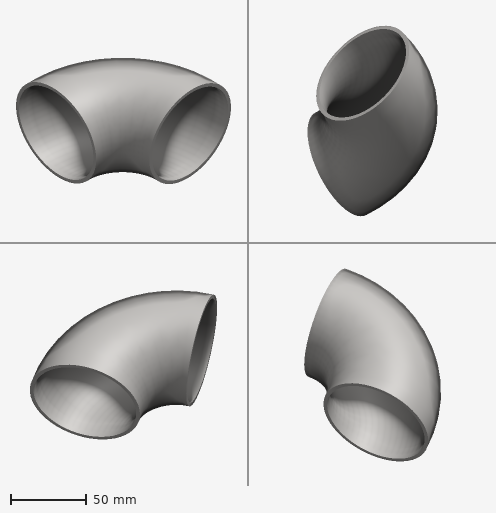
import cadquery as cq

overall_reach = 101.0
outer_diameter = 76.1
wall_thickness = 2.6
bend_angle = 90.0

outer_radius = outer_diameter / 2
inner_radius = outer_radius - wall_thickness
bend_radius = overall_reach - outer_radius


def pipe_elbow():
    """Sweep the pipe ring about the Z axis, from the -Y facing end to the +X facing end."""
    ring = (
        cq.Workplane("XZ")
        .center(-bend_radius, 0)
        .circle(outer_radius)
        .circle(inner_radius)
    )
    axis_start = (bend_radius, 0)
    axis_end = (bend_radius, -1)
    return ring.revolve(bend_angle, axis_start, axis_end)


result = pipe_elbow()